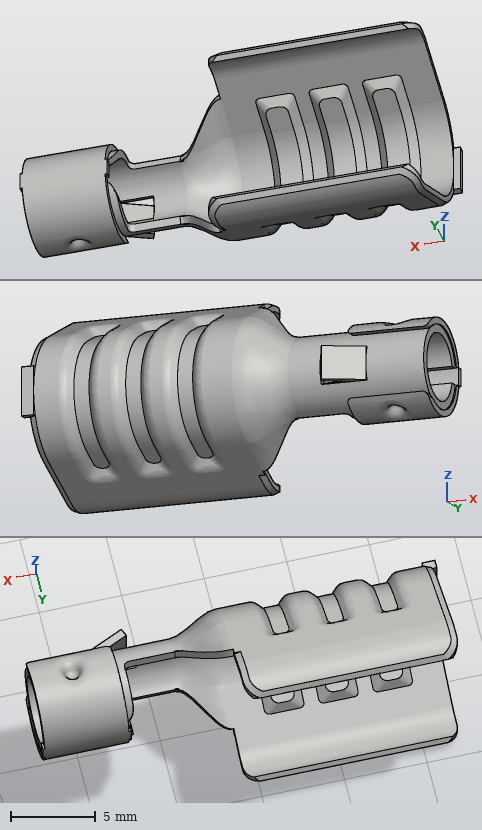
import cadquery as cq
import math


sheet = 0.5

barrel_start = 0.4
barrel_end = 13.38
barrel_radius = 4.25
barrel_axis_y = 0.58
wall_angle = 24.3
wall_length = 4.02
curl_radius = 2.53
wing_tip_y = 5.0
wing_corner_radius = 1.26
edge_bevel_depth = 0.15
edge_bevel_width = 0.38
root_y = 1.6
transition_root_y = 1.26
tab_half_width = 1.5

groove_count = 3
groove_pitch = 3.3
first_groove_x = 3.62
groove_depth = 0.5
groove_floor_width = 0.95
groove_floor_run = 1.55
groove_slope = 45.0
groove_floor_corner = 0.45
groove_mouth_corner = 0.13
groove_rim_radius = 0.6

neck_start = 16.46
ring_start = 19.57
ring_end = 25.1
ring_radius = 2.55
neck_edge_angle = 15.0
neck_lip = 0.05
transition_steps = 8
ring_gap = 1.0
ring_gap_flare = 1.26
neck_fillet = 0.35

slot_start = 18.5
slot_end = 21.42
tongue_width = 2.02
tongue_angle = 24.5
tongue_length = 3.03
tongue_tip_x = 19.02
tongue_tip_y = -3.62

sleeve_start = 20.05
sleeve_end = 25.16
sleeve_thickness = 0.4
sleeve_opening = 3.95
sleeve_corner_radius = 0.3
sleeve_tab_length = 0.13
sleeve_tab_width = 1.05

dimple_x = 22.65
dimple_y = -0.68
bump_radius = 0.63
bump_tip_z = 1.52
pit_radius = 0.48
pit_tip_z = 2.1
pit_wall = 0.28
pit_rim_radius = 0.65

bore_radius = ring_radius - sheet
sleeve_radius = ring_radius + sleeve_thickness
barrel_bottom_y = barrel_axis_y - barrel_radius
neck_wall_angle = neck_edge_angle + math.degrees(math.atan(neck_lip / ring_radius))
tolerance = 0.0003
far = 4 * barrel_radius


def wall_frame(axis_y, angle):
    """Axis point, direction along the +Z wall and its outward normal, in (Y, Z)."""
    lean = math.radians(angle)
    along = (math.cos(lean), math.sin(lean))
    outward = (-math.sin(lean), math.cos(lean))
    return (axis_y, 0.0), along, outward


def offset_point(start, direction, distance):
    return (start[0] + direction[0] * distance, start[1] + direction[1] * distance)


def mirrored(point):
    return (point[0], -point[1])


def trough_half(axis_y, radius, angle, length):
    """Bottom of the arc and both ends of the straight wall on the +Z side."""
    axis, along, outward = wall_frame(axis_y, angle)
    tangent = offset_point(axis, outward, radius)
    return (axis_y - radius, 0.0), tangent, offset_point(tangent, along, length)


def trough_section(x, axis_y, radius, angle, length):
    """Open trough of constant thickness: an arc with two straight walls."""
    bottom, tangent, tip = trough_half(axis_y, radius, angle, length)
    in_bottom, in_tangent, in_tip = trough_half(axis_y, radius - sheet, angle, length)
    return (
        cq.Workplane("YZ", origin=(x, 0, 0))
        .moveTo(*tip)
        .lineTo(*tangent)
        .threePointArc(bottom, mirrored(tangent))
        .lineTo(*mirrored(tip))
        .lineTo(*mirrored(in_tip))
        .lineTo(*mirrored(in_tangent))
        .threePointArc(in_bottom, in_tangent)
        .lineTo(*in_tip)
        .close()
    )


def filled_trough(radius):
    """Barrel-long block under the given arc radius and its tangent walls."""
    bottom, tangent, tip = trough_half(barrel_axis_y, radius, wall_angle, wall_length)
    return (
        cq.Workplane("YZ", origin=(barrel_start, 0, 0))
        .moveTo(*tip)
        .lineTo(*tangent)
        .threePointArc(bottom, mirrored(tangent))
        .lineTo(*mirrored(tip))
        .close()
        .extrude(barrel_end - barrel_start)
    )


def disc(radius, start, end):
    """Solid cylinder on the socket axis."""
    return cq.Workplane("YZ", origin=(start, 0, 0)).circle(radius).extrude(end - start)


def tube(outer, inner, start, end):
    return disc(outer, start, end).cut(disc(inner, start, end))


def barrel_section():
    """Closed barrel outline with the curled wing tips."""
    _, _, curl_start = trough_half(barrel_axis_y, barrel_radius, wall_angle, wall_length)
    _, _, outward = wall_frame(barrel_axis_y, wall_angle)
    curl_center = offset_point(curl_start, outward, -curl_radius)
    tip_angle = math.asin((wing_tip_y - curl_center[0]) / curl_radius)
    tip_direction = (math.sin(tip_angle), math.cos(tip_angle))
    top_direction = (0.0, 1.0)

    def half(depth):
        bottom, tangent, start = trough_half(
            barrel_axis_y, barrel_radius - depth, wall_angle, wall_length
        )
        top = offset_point(curl_center, top_direction, curl_radius - depth)
        tip = offset_point(curl_center, tip_direction, curl_radius - depth)
        return bottom, tangent, start, top, tip

    bottom, tangent, start, top, tip = half(0)
    in_bottom, in_tangent, in_start, in_top, in_tip = half(sheet)
    return (
        cq.Workplane("YZ", origin=(barrel_start, 0, 0))
        .moveTo(*tip)
        .threePointArc(top, start)
        .lineTo(*tangent)
        .threePointArc(bottom, mirrored(tangent))
        .lineTo(*mirrored(start))
        .threePointArc(mirrored(top), mirrored(tip))
        .lineTo(*mirrored(in_tip))
        .threePointArc(mirrored(in_top), mirrored(in_start))
        .lineTo(*mirrored(in_tangent))
        .threePointArc(in_bottom, in_tangent)
        .lineTo(*in_start)
        .threePointArc(in_top, in_tip)
        .close()
    )


def barrel_blank():
    """Barrel sheet with rounded wing corners."""
    length = barrel_end - barrel_start
    corner_plan = (
        cq.Workplane("XY", origin=(barrel_start, -far, -far))
        .rect(length, far + wing_tip_y, centered=False)
        .extrude(2 * far)
        .edges("|Z and >Y")
        .fillet(wing_corner_radius)
    )
    return barrel_section().extrude(length).intersect(corner_plan)


def skin_depth(point):
    """Depth of a point below the outer skin of the barrel."""
    axis, along, outward = wall_frame(barrel_axis_y, wall_angle)
    y = point.y - axis[0]
    z = abs(point.z)
    run = y * along[0] + z * along[1]
    height = y * outward[0] + z * outward[1]
    if run < 0:
        return barrel_radius - math.hypot(run, height)
    if run < wall_length:
        return barrel_radius - height
    return curl_radius - math.hypot(run - wall_length, height - barrel_radius + curl_radius)


def on_skin(edge):
    return abs(skin_depth(edge.positionAt(0.5))) < tolerance


def is_free_edge(edge):
    """True for the skin edges that bound the sheet, not for seams between skin faces."""
    center = edge.Center()
    at_wing_tip = center.y > wing_tip_y - tolerance
    is_seam = edge.geomType() == "LINE" and abs(edge.tangentAt(0.5).x) > 0.5 and not at_wing_tip
    return on_skin(edge) and not is_seam


def groove_end_outline(half_width, run, corner, height):
    """Strip with two rounded corners at its far end, at a height above the groove floor."""
    bulge = corner * (1 - math.sqrt(0.5))
    shoulder = half_width - corner
    return (
        cq.Workplane("XY", origin=(0, 0, height))
        .moveTo(-half_width, 0)
        .lineTo(half_width, 0)
        .lineTo(half_width, run - corner)
        .threePointArc((half_width - bulge, run - bulge), (shoulder, run))
        .lineTo(-shoulder, run)
        .threePointArc((bulge - half_width, run - bulge), (-half_width, run - corner))
        .close()
        .val()
    )


def groove_punch(center_x, floor_radius, floor_width):
    """Groove-shaped block with sloping sides and ends, standing on its floor."""
    half_floor = floor_width / 2
    height = 2 * groove_depth
    half_top = half_floor + height * math.tan(math.radians(groove_slope))
    _, _, outward = wall_frame(barrel_axis_y, wall_angle)
    arc_angle = 180 - 2 * wall_angle
    arc_part = (
        cq.Workplane("XY", origin=(center_x, barrel_axis_y, 0))
        .polyline(
            [
                (-half_floor, -floor_radius),
                (half_floor, -floor_radius),
                (half_top, -floor_radius - height),
                (-half_top, -floor_radius - height),
            ]
        )
        .close()
        .revolve(arc_angle, (0, 0), (1, 0))
        .rotate((0, barrel_axis_y, 0), (1, barrel_axis_y, 0), -arc_angle / 2)
    )
    run = groove_floor_run + (floor_width - groove_floor_width) / 2
    mouth_run = run + half_top - half_floor
    wall_block = cq.Solid.makeLoft(
        [
            groove_end_outline(half_floor, run, groove_floor_corner, 0),
            groove_end_outline(half_top, mouth_run, groove_mouth_corner, height),
        ],
        True,
    )
    wall_start = (
        center_x,
        barrel_axis_y + floor_radius * outward[0],
        floor_radius * outward[1],
    )
    wall_plane = cq.Plane(origin=wall_start, xDir=(1, 0, 0), normal=(0, *outward))
    upper_wall = cq.Workplane(wall_block.moved(wall_plane.location))
    return arc_part.union(upper_wall).union(upper_wall.mirror("XY"))


def bevelled_barrel():
    """Barrel blank with its free edges bevelled, except where the transition joins."""
    blank = barrel_blank()
    free_edges = blank.edges().filter(is_free_edge).vals()
    body = cq.Workplane(blank.val().chamfer(edge_bevel_width, edge_bevel_depth, free_edges))
    plain_root = (
        cq.Workplane("XY", origin=(barrel_end - edge_bevel_width, -far, -far))
        .rect(edge_bevel_width, far + root_y, centered=False)
        .extrude(2 * far)
        .intersect(barrel_section().extrude(barrel_end - barrel_start))
    )
    return body.union(plain_root)


def barrel():
    """Crimp barrel with pressed grooves and the beads they raise on the inside."""
    body = bevelled_barrel()
    centers = [first_groove_x + i * groove_pitch for i in range(groove_count)]
    floor_radius = barrel_radius - groove_depth
    bead_width = groove_floor_width + 2 * sheet * math.tan(math.radians(groove_slope / 2))
    core = filled_trough(barrel_radius - sheet / 2)
    for center_x in centers:
        body = body.union(groove_punch(center_x, floor_radius - sheet, bead_width).intersect(core))
    for center_x in centers:
        body = body.cut(groove_punch(center_x, floor_radius, groove_floor_width))

    half_opening = groove_floor_width / 2 + groove_depth * math.tan(math.radians(groove_slope))

    def is_groove_rim(edge):
        offset = min(abs(edge.Center().x - center_x) for center_x in centers)
        return is_free_edge(edge) and offset < half_opening + tolerance

    return body.edges().filter(is_groove_rim).fillet(groove_rim_radius)


def front_tab():
    """Flat cut-off tab on the bottom of the barrel's front edge."""
    return (
        cq.Workplane("XY", origin=(0, barrel_bottom_y, -tab_half_width))
        .rect(barrel_start + edge_bevel_width, sheet, centered=False)
        .extrude(2 * tab_half_width)
    )


def blend(start, end, share):
    return start + (end - start) * share


def transition_section(progress):
    """Trough outline part way from the barrel root (0) to the neck (1), easing at both ends."""
    eased = progress ** 2 * (3 - 2 * progress)
    _, tangent, _ = trough_half(barrel_axis_y, barrel_radius, wall_angle, wall_length)
    root_length = (transition_root_y - tangent[0]) / math.cos(math.radians(wall_angle))
    return trough_section(
        blend(barrel_end, neck_start, progress),
        blend(barrel_axis_y, 0, eased),
        blend(barrel_radius, ring_radius, eased),
        blend(wall_angle, neck_wall_angle, eased),
        blend(root_length, neck_lip, eased),
    )


def transition():
    """Funnel-shaped trough that narrows from the barrel to the neck."""
    sections = [transition_section(i / transition_steps).val() for i in range(transition_steps + 1)]
    return cq.Workplane(cq.Solid.makeLoft(sections))


def neck_and_ring():
    """Socket ring with a gap on its +Y side, on a neck that keeps only the lower part of the tube."""
    edge_drop = far * math.tan(math.radians(neck_edge_angle))
    neck_opening = (
        cq.Workplane("YZ", origin=(neck_start, 0, 0))
        .polyline([(0, 0), (-edge_drop, far), (far, far), (far, -far), (-edge_drop, -far)])
        .close()
        .extrude(ring_start - neck_start)
    )
    tube_body = tube(ring_radius, bore_radius, neck_start, ring_end)
    return tube_body.cut(neck_opening).edges(neck_corners()).fillet(neck_fillet).cut(ring_gap_cut())


def neck_corners():
    """Selects the two inside corners between the neck edges and the ring face."""
    return cq.selectors.BoxSelector(
        (ring_start - tolerance, -ring_radius / 2, -far), (ring_start + tolerance, -tolerance, far)
    )


def ring_gap_cut():
    """Gap through the top of the ring that flares out at the neck end."""
    half_gap = ring_gap / 2
    flare_z = half_gap + ring_gap_flare
    bulge = ring_gap_flare * (1 - math.sqrt(0.5))
    return (
        cq.Workplane("XZ")
        .moveTo(ring_start, flare_z)
        .threePointArc(
            (ring_start + bulge, half_gap + bulge), (ring_start + ring_gap_flare, half_gap)
        )
        .lineTo(ring_end, half_gap)
        .lineTo(ring_end, -half_gap)
        .lineTo(ring_start + ring_gap_flare, -half_gap)
        .threePointArc((ring_start + bulge, -half_gap - bulge), (ring_start, -flare_z))
        .close()
        .extrude(-far)
    )


def lance_slot():
    """Slot through the bottom of the neck with radial side walls."""
    half_angle = math.asin(tongue_width / 2 / ring_radius)
    outer_z = 2 * ring_radius * math.tan(half_angle)
    return (
        cq.Workplane("YZ", origin=(slot_start, 0, 0))
        .polyline([(0, 0), (-2 * ring_radius, outer_z), (-2 * ring_radius, -outer_z)])
        .close()
        .extrude(slot_end - slot_start)
    )


def tongue():
    """Flat tongue bent outward from the rear end of the lance slot."""
    bore = disc(bore_radius, slot_start, ring_end)
    behind_slot = disc(sleeve_radius, slot_end, ring_end)
    return (
        cq.Workplane("XY", origin=(tongue_tip_x, tongue_tip_y, -tongue_width / 2))
        .transformed(rotate=(0, 0, tongue_angle))
        .rect(tongue_length, sheet, centered=False)
        .extrude(tongue_width)
        .cut(bore)
        .cut(behind_slot)
    )


def dimple_spheres(radius, tip_z):
    """Pair of spheres on the +Z and -Z sides whose innermost points lie at Z = tip_z and -tip_z."""
    upper = cq.Workplane("XY", origin=(dimple_x, dimple_y, tip_z + radius)).sphere(radius)
    return upper.union(upper.mirror("XY"))


def sleeve_dimples():
    """Rounded ends of the sleeve dimples, which the ring receives in matching recesses."""
    return dimple_spheres(pit_radius + pit_wall, pit_tip_z - pit_wall)


def build_terminal():
    """One-piece terminal: barrel, transition, neck with tongue, and socket ring."""
    body = barrel().union(front_tab()).union(transition()).union(neck_and_ring())
    body = body.cut(lance_slot()).union(tongue())
    ring_space = disc(ring_radius, ring_start, ring_end)
    bumps = dimple_spheres(bump_radius, bump_tip_z).intersect(ring_space)
    return body.union(bumps).cut(sleeve_dimples())


def build_sleeve():
    """Open sleeve around the socket ring, locked on it by two dimples."""
    opening = (
        cq.Workplane("XY", origin=(sleeve_start, -far, -sleeve_opening / 2))
        .rect(sleeve_end - sleeve_start, far, centered=False)
        .extrude(sleeve_opening)
    )
    shell = tube(sleeve_radius, ring_radius, sleeve_start, sleeve_end).cut(opening)
    shell = shell.edges("|Y").fillet(sleeve_corner_radius)

    bumps = sleeve_dimples().intersect(disc(ring_radius, sleeve_start, sleeve_end))
    pits = dimple_spheres(pit_radius, pit_tip_z)
    shell = shell.union(bumps).cut(pits)

    def is_pit_rim(edge):
        point = edge.positionAt(0.5)
        reach = math.hypot(point.x - dimple_x, point.y - dimple_y)
        on_outside = abs(math.hypot(point.y, point.z) - sleeve_radius) < tolerance
        return on_outside and reach < 2 * pit_radius

    shell = shell.edges().filter(is_pit_rim).fillet(pit_rim_radius)
    return shell.union(sleeve_tabs())


def sleeve_tabs():
    """Short cut-off tabs on both ends of the sleeve, at its top."""
    start = sleeve_start - sleeve_tab_length
    end = sleeve_end + sleeve_tab_length
    strip = (
        cq.Workplane("XY", origin=(start, 0, -sleeve_tab_width / 2))
        .rect(end - start, far, centered=False)
        .extrude(sleeve_tab_width)
    )
    return tube(sleeve_radius, ring_radius, start, end).intersect(strip)


terminal = build_terminal().solids()
sleeve = build_sleeve().solids()
result = cq.Compound.makeCompound([terminal.val(), sleeve.val()])